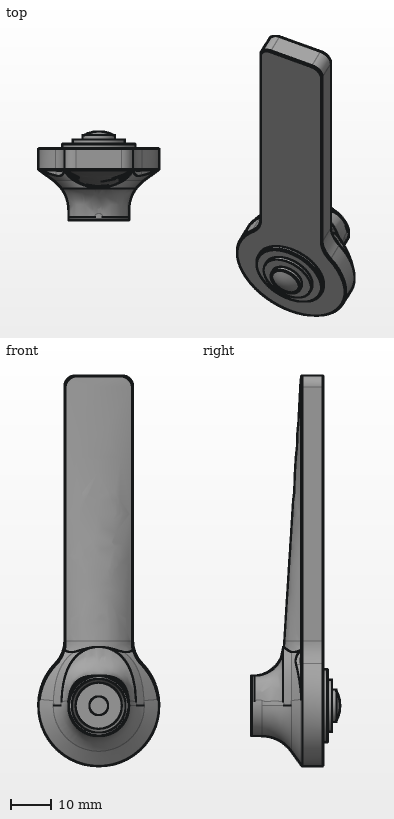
import cadquery as cq
import math


hub_radius = 15.0
overall_length = 96.9
arm_top = overall_length - hub_radius
arm_half_width = 8.5
tip_radius = 2.9
neck_start = 16.0
plate_thickness = 5.5
edge_chamfer = 0.3

tip_crown = 0.1
root_crown = 5.2
root_half_width = 11.6

socket_end = 17.9
socket_radius = 7.6
side_fillet = 9.0
rim_chamfer = 0.2
cone_slope = 0.72
bore_mouth_radius = 6.7
bore_floor_radius = 5.7
bore_depth = 11.6

saddle_start = 10.0
saddle_fillet = 7.1
saddle_base_slope = 0.2
saddle_inset = 0.05
saddle_steps = 5

boss_radius = 9.1
boss_height = 1.2
boss_chamfer = 0.3
washer_radius = 6.5
washer_thickness = 1.0
rivet_shank_radius = 2.3
rivet_head_radius = 4.1
rivet_rim_height = 1.1
rivet_dome_radius = 3.7
rivet_dome_height = 1.0

neck_radius = (arm_half_width**2 + neck_start**2 - hub_radius**2) / (2 * (hub_radius - arm_half_width))
neck_center_x = arm_half_width + neck_radius
neck_share = hub_radius / (hub_radius + neck_radius)
neck_end_x = neck_center_x * neck_share
neck_end_z = neck_start * neck_share

hub_base_radius = hub_radius - edge_chamfer
cone_angle = math.atan(cone_slope)
side_center_radius = socket_radius + side_fillet
side_arc_radius = side_center_radius - side_fillet * math.sin(cone_angle)
side_arc_start = plate_thickness + cone_slope * (hub_base_radius - side_arc_radius)
side_arc_end = side_arc_start + side_fillet * math.cos(cone_angle)

saddle_top = socket_radius + saddle_fillet
saddle_end = saddle_start + saddle_fillet
bore_floor = socket_end - bore_depth


def cylinder(radius, start, length):
    """Cylinder on the pivot axis, growing towards +Y from Y = start."""
    return cq.Workplane("XZ", origin=(0, start, 0)).circle(radius).extrude(-length)


def neck_half_width(z):
    """Half width of the outline at a height within the neck arc."""
    return neck_center_x - math.sqrt(neck_radius**2 - (neck_start - z)**2)


def lever_outline():
    neck_mid_z = (neck_start + neck_end_z) / 2
    neck_mid_x = neck_half_width(neck_mid_z)
    tip_x = arm_half_width - tip_radius
    tip_z = arm_top - tip_radius
    tip_mid = tip_radius * math.sqrt(0.5)
    return (
        cq.Workplane("XZ")
        .moveTo(neck_end_x, neck_end_z)
        .threePointArc((neck_mid_x, neck_mid_z), (arm_half_width, neck_start))
        .lineTo(arm_half_width, tip_z)
        .threePointArc((tip_x + tip_mid, tip_z + tip_mid), (tip_x, arm_top))
        .lineTo(-tip_x, arm_top)
        .threePointArc((-tip_x - tip_mid, tip_z + tip_mid), (-arm_half_width, tip_z))
        .lineTo(-arm_half_width, neck_start)
        .threePointArc((-neck_mid_x, neck_mid_z), (-neck_end_x, neck_end_z))
        .threePointArc((0, -hub_radius), (neck_end_x, neck_end_z))
        .close()
    )


def make_plate():
    return lever_outline().extrude(plate_thickness).faces("<Y or >Y").chamfer(edge_chamfer)


def crown_section(z, half_width):
    """Arched cross-section standing on the front of the plate."""
    crown = root_crown + (tip_crown - root_crown) * z / arm_top
    return (
        cq.Workplane("XY", origin=(0, 0, z))
        .moveTo(-half_width, -plate_thickness)
        .threePointArc((0, -plate_thickness - crown), (half_width, -plate_thickness))
        .close()
        .val()
    )


def make_crown():
    """Arched front of the arm, flared into the hub and trimmed to the chamfered plate face."""
    neck_middle = (neck_start + neck_end_z) / 2
    stations = [
        (0, root_half_width),
        (neck_end_z, neck_end_x),
        (neck_middle, neck_half_width(neck_middle)),
        (neck_start, arm_half_width),
    ]
    flare = cq.Solid.makeLoft([crown_section(z, width - edge_chamfer) for z, width in stations])
    straight_width = arm_half_width - edge_chamfer
    arm = cq.Solid.makeLoft(
        [crown_section(neck_start, straight_width), crown_section(arm_top, straight_width)], True
    )
    return cq.Workplane(flare).union(cq.Workplane(arm)).intersect(front_face_prism())


def front_face_prism():
    """Prism over the front face of the plate, inside its chamfer."""
    return lever_outline().offset2D(-edge_chamfer).extrude(socket_end)


def make_hub():
    """Cone on the plate, swept up into the socket tube by a concave arc."""
    arc_mid_angle = (math.pi / 2 - math.atan(cone_slope)) / 2
    arc_mid_radius = side_center_radius - side_fillet * math.cos(arc_mid_angle)
    arc_mid_depth = side_arc_end - side_fillet * math.sin(arc_mid_angle)
    return (
        cq.Workplane("XY")
        .moveTo(0, -plate_thickness)
        .lineTo(hub_base_radius, -plate_thickness)
        .lineTo(side_arc_radius, -side_arc_start)
        .threePointArc((arc_mid_radius, -arc_mid_depth), (socket_radius, -side_arc_end))
        .lineTo(socket_radius, -socket_end + rim_chamfer)
        .lineTo(socket_radius - rim_chamfer, -socket_end)
        .lineTo(0, -socket_end)
        .close()
        .revolve(360, (0, 0, 0), (0, 1, 0))
    )


def hub_radius_at(depth):
    """Radius of the hub surface at a distance in front of the back face."""
    if depth <= side_arc_start:
        return hub_base_radius - (depth - plate_thickness) / cone_slope
    if depth >= side_arc_end:
        return socket_radius
    return side_center_radius - math.sqrt(side_fillet**2 - (side_arc_end - depth)**2)


def saddle_height_at(depth):
    """Height of the saddle's top, a concave arc from the arm's ridge to the socket tube."""
    if depth <= saddle_start:
        return saddle_top + (saddle_start - depth) * saddle_base_slope
    return socket_radius + saddle_fillet - math.sqrt(saddle_fillet**2 - (saddle_end - depth)**2)


def saddle_section(depth):
    """Half-oval cross-section of the saddle, standing on the plane Z = 0."""
    half_width = hub_radius_at(depth) - saddle_inset
    height = saddle_height_at(depth) - saddle_inset
    return (
        cq.Workplane("XZ", origin=(0, -depth, 0))
        .moveTo(half_width, 0)
        .spline(
            [(0, height), (-half_width, 0)], tangents=[(0, 1), (-1, 0), (0, -1)], includeCurrent=True
        )
        .close()
        .val()
    )


def make_saddle():
    """Upper half of the hub, stretched upwards so that the socket blends into the arm."""
    base_depths = [plate_thickness, side_arc_start, saddle_start]
    sweep_angles = [math.pi / 2 * step / saddle_steps for step in range(saddle_steps + 1)]
    sweep_depths = [saddle_end - saddle_fillet * math.cos(angle) for angle in sweep_angles]
    base = cq.Solid.makeLoft([saddle_section(depth) for depth in base_depths], True)
    sweep = cq.Solid.makeLoft([saddle_section(depth) for depth in sweep_depths])
    return cq.Workplane(base).intersect(front_face_prism()).union(cq.Workplane(sweep))


def make_socket_bore():
    return (
        cq.Workplane("XY")
        .polyline([
            (0, -socket_end),
            (bore_mouth_radius, -socket_end),
            (bore_floor_radius, -bore_floor),
            (0, -bore_floor),
        ])
        .close()
        .revolve(360, (0, 0, 0), (0, 1, 0))
    )


def make_lever():
    body = make_plate().union(make_hub()).union(make_crown()).union(make_saddle())
    boss = cylinder(boss_radius, 0, boss_height).faces(">Y").chamfer(boss_chamfer)
    shank_hole = cylinder(rivet_shank_radius, -bore_floor, bore_floor + boss_height)
    return body.union(boss).cut(make_socket_bore()).cut(shank_hole)


def make_washer():
    hole = cylinder(rivet_shank_radius, boss_height, washer_thickness)
    return cylinder(washer_radius, boss_height, washer_thickness).cut(hole)


def make_rivet():
    head_start = boss_height + washer_thickness
    rim_end = head_start + rivet_rim_height
    head_end = rim_end + rivet_dome_height
    sphere_radius = (rivet_dome_radius**2 + rivet_dome_height**2) / (2 * rivet_dome_height)
    dome_mid_x = rivet_dome_radius / 2
    dome_mid_y = head_end - sphere_radius + math.sqrt(sphere_radius**2 - dome_mid_x**2)
    return (
        cq.Workplane("XY")
        .moveTo(0, -bore_floor)
        .lineTo(rivet_shank_radius, -bore_floor)
        .lineTo(rivet_shank_radius, head_start)
        .lineTo(rivet_head_radius, head_start)
        .lineTo(rivet_head_radius, rim_end)
        .lineTo(rivet_dome_radius, rim_end)
        .threePointArc((dome_mid_x, dome_mid_y), (0, head_end))
        .close()
        .revolve(360, (0, 0, 0), (0, 1, 0))
    )


lever = make_lever()
washer = make_washer()
rivet = make_rivet()

result = cq.Compound.makeCompound([lever.val(), washer.val(), rivet.val()])